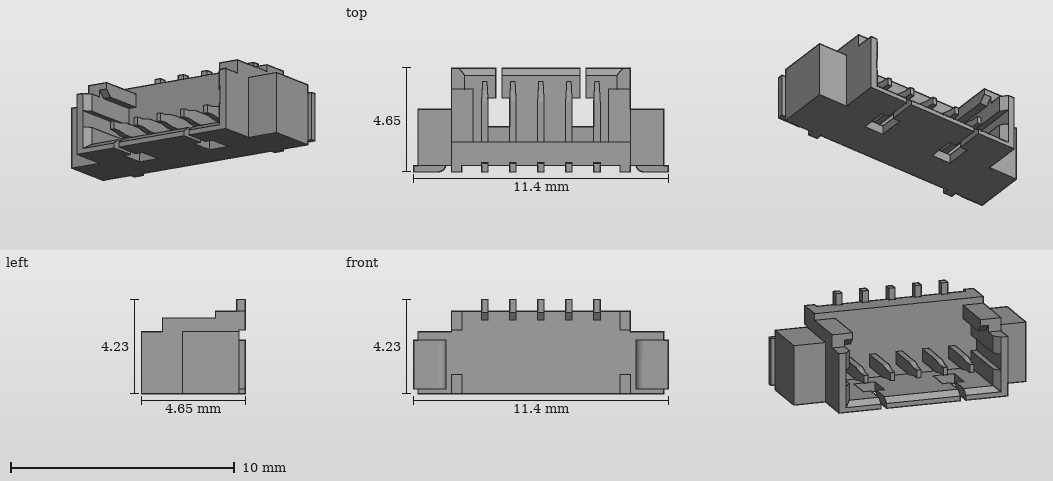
import cadquery as cq

BODY_WIDTH = 8.0
FLOOR_THICKNESS = 0.46
WALL_FRONT = 0.28
WALL_BACK = 1.35
BODY_BACK = 4.65
WALL_TOP = 3.7
SIDE_TOP = 2.78
SIDE_INNER_X = 3.41

RAIL_TOP = 3.4
RAIL_BACK = 3.72
RAIL_INNER_X = 3.03

LEAD_IN_DEPTH = 0.32
FLOOR_LEAD_IN_DROP = 0.23
SIDE_LEAD_IN_WIDTH = 0.26

GROOVE_BOTTOM = 1.23
GROOVE_TOP = 1.98
GROOVE_DEPTH = 0.27

EAR_OUTER_X = 5.51
EAR_BACK = 2.82

PAD_OUTER_X = 5.7
PAD_INNER_X = 4.25
PAD_CURVE_X = 4.62
PAD_BOTTOM = 0.22
PAD_TOP = 2.4

STANDOFF_WIDTH = 0.47
LOWER_STANDOFF_TOP = 0.87
UPPER_STANDOFF_BOTTOM = 2.85

PIN_COUNT = 5
PIN_PITCH = 1.25
PIN_WIDTH = 0.3
PIN_TIP_WIDTH = 0.19
PIN_AXIS_Z = 1.27
PIN_HEIGHT = 0.57
PIN_TIP_HEIGHT = 0.36
PIN_SHOULDER_Y = 3.16
PIN_TIP_START_Y = 3.65
PIN_END_Y = 4.05
TAIL_BACK = 0.39
TAIL_CLEARANCE = 0.03
TAIL_TOP = 4.23
TAIL_TOE_Z = 3.65
TAIL_HEEL_Z = 3.3

WINDOW_WIDTH = 1.0
WINDOW_FRONT = 2.03
WINDOW_BACK = 3.31
SLOT_WIDTH = 0.26
OPENING_X = 1.5 * PIN_PITCH

BODY_HALF = BODY_WIDTH / 2


def block(x0, x1, y0, y1, z0, z1):
    """Axis-aligned box between opposite corners."""
    return cq.Workplane("XY").box(x1 - x0, y1 - y0, z1 - z0, centered=False).translate((x0, y0, z0))


def side_prism(points, x0, x1):
    """Prism along X from an outline of (y, z) points."""
    return cq.Workplane("YZ").polyline(points).close().extrude(x1 - x0).translate((x0, 0, 0))


def both_sides(shape):
    """The shape together with its mirror image across the YZ plane."""
    return shape.union(shape.mirror("YZ"))


def make_front_wall():
    wall = block(-BODY_HALF, BODY_HALF, WALL_FRONT, WALL_BACK, 0, WALL_TOP)
    standoff_inner_x = BODY_HALF - STANDOFF_WIDTH
    lower = block(standoff_inner_x, BODY_HALF, 0, WALL_FRONT, 0, LOWER_STANDOFF_TOP)
    upper = block(standoff_inner_x, BODY_HALF, 0, WALL_FRONT, UPPER_STANDOFF_BOTTOM, WALL_TOP)
    return wall.union(both_sides(lower)).union(both_sides(upper))


def make_floor():
    outline = [
        (WALL_BACK, 0),
        (BODY_BACK, 0),
        (BODY_BACK, FLOOR_THICKNESS - FLOOR_LEAD_IN_DROP),
        (BODY_BACK - LEAD_IN_DEPTH, FLOOR_THICKNESS),
        (WALL_BACK, FLOOR_THICKNESS),
    ]
    floor = side_prism(outline, -BODY_HALF, BODY_HALF)
    window = block(
        OPENING_X - WINDOW_WIDTH / 2, OPENING_X + WINDOW_WIDTH / 2,
        WINDOW_FRONT, WINDOW_BACK, 0, FLOOR_THICKNESS,
    )
    slot = block(
        OPENING_X - SLOT_WIDTH / 2, OPENING_X + SLOT_WIDTH / 2,
        WINDOW_BACK, BODY_BACK, 0, FLOOR_THICKNESS,
    )
    return floor.cut(both_sides(window.union(slot)))


def make_side_wall():
    """Right side wall with its mouth chamfer and groove."""
    outline = [
        (BODY_HALF, WALL_BACK),
        (BODY_HALF, BODY_BACK),
        (SIDE_INNER_X + SIDE_LEAD_IN_WIDTH, BODY_BACK),
        (SIDE_INNER_X, BODY_BACK - LEAD_IN_DEPTH),
        (SIDE_INNER_X, WALL_BACK),
    ]
    wall = cq.Workplane("XY").polyline(outline).close().extrude(SIDE_TOP)
    groove = block(
        SIDE_INNER_X, SIDE_INNER_X + GROOVE_DEPTH,
        WALL_BACK, BODY_BACK, GROOVE_BOTTOM, GROOVE_TOP,
    )
    return wall.cut(groove)


def make_rail():
    """Right rail, chamfered under its back end."""
    overhang = side_prism(
        [
            (WALL_BACK, SIDE_TOP),
            (RAIL_BACK - LEAD_IN_DEPTH, SIDE_TOP),
            (RAIL_BACK, SIDE_TOP + LEAD_IN_DEPTH),
            (RAIL_BACK, RAIL_TOP),
            (WALL_BACK, RAIL_TOP),
        ],
        RAIL_INNER_X, SIDE_INNER_X,
    )
    base = block(SIDE_INNER_X, BODY_HALF, WALL_BACK, RAIL_BACK, SIDE_TOP, RAIL_TOP)
    return base.union(overhang)


def make_pad():
    """Right solder pad with a rounded inner edge tangent to its front face."""
    run = PAD_CURVE_X - PAD_INNER_X
    radius = (run ** 2 + WALL_FRONT ** 2) / (2 * WALL_FRONT)
    return (
        cq.Workplane("XY")
        .moveTo(PAD_OUTER_X, 0)
        .lineTo(PAD_OUTER_X, WALL_FRONT)
        .lineTo(PAD_INNER_X, WALL_FRONT)
        .radiusArc((PAD_CURVE_X, 0), -radius)
        .close()
        .extrude(PAD_TOP - PAD_BOTTOM)
        .translate((0, 0, PAD_BOTTOM))
    )


def make_contact():
    """Contact centred on the YZ plane: a straight shank ending in a tapered tip."""
    shank = block(
        -PIN_WIDTH / 2, PIN_WIDTH / 2, WALL_BACK, PIN_SHOULDER_Y,
        PIN_AXIS_Z - PIN_HEIGHT / 2, PIN_AXIS_Z + PIN_HEIGHT / 2,
    )
    plan = [
        (-PIN_WIDTH / 2, PIN_SHOULDER_Y),
        (PIN_WIDTH / 2, PIN_SHOULDER_Y),
        (PIN_TIP_WIDTH / 2, PIN_END_Y),
        (-PIN_TIP_WIDTH / 2, PIN_END_Y),
    ]
    profile = [
        (PIN_SHOULDER_Y, PIN_AXIS_Z - PIN_HEIGHT / 2),
        (PIN_TIP_START_Y, PIN_AXIS_Z - PIN_TIP_HEIGHT / 2),
        (PIN_END_Y, PIN_AXIS_Z - PIN_TIP_HEIGHT / 2),
        (PIN_END_Y, PIN_AXIS_Z + PIN_TIP_HEIGHT / 2),
        (PIN_TIP_START_Y, PIN_AXIS_Z + PIN_TIP_HEIGHT / 2),
        (PIN_SHOULDER_Y, PIN_AXIS_Z + PIN_HEIGHT / 2),
    ]
    tip = cq.Workplane("XY").polyline(plan).close().extrude(WALL_TOP)
    tip = tip.intersect(side_prism(profile, -PIN_WIDTH / 2, PIN_WIDTH / 2))
    return shank.union(tip)


def make_tail():
    """Solder tail centred on the YZ plane, with a sloping underside."""
    return side_prism(
        [
            (0, TAIL_TOP),
            (TAIL_BACK, TAIL_TOP),
            (TAIL_BACK, TAIL_HEEL_Z),
            (WALL_FRONT, TAIL_HEEL_Z),
            (0, TAIL_TOE_Z),
        ],
        -PIN_WIDTH / 2, PIN_WIDTH / 2,
    )


result = make_front_wall().union(make_floor())
result = result.union(both_sides(make_side_wall().union(make_rail())))
result = result.union(both_sides(block(BODY_HALF, EAR_OUTER_X, WALL_FRONT, EAR_BACK, 0, SIDE_TOP)))
result = result.union(both_sides(make_pad()))

contact = make_contact()
tail = make_tail()
clearance = block(
    -PIN_WIDTH / 2, PIN_WIDTH / 2,
    TAIL_BACK, TAIL_BACK + TAIL_CLEARANCE, TAIL_HEEL_Z, WALL_TOP,
)
for index in range(PIN_COUNT):
    pin_x = (index - (PIN_COUNT - 1) / 2) * PIN_PITCH
    result = result.cut(clearance.translate((pin_x, 0, 0)))
    result = result.union(contact.translate((pin_x, 0, 0)))
    result = result.union(tail.translate((pin_x, 0, 0)))